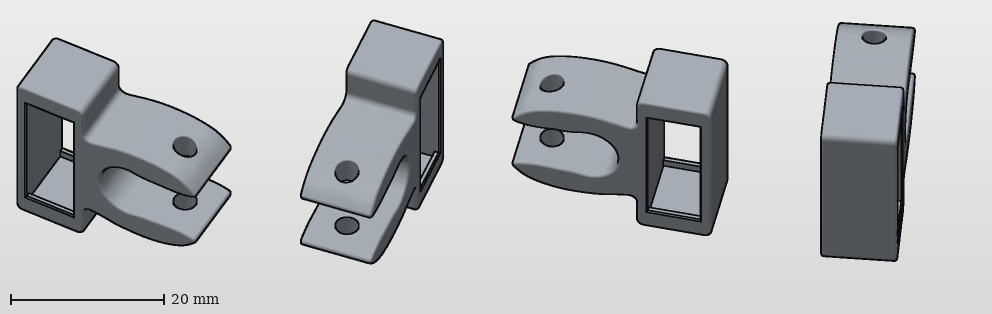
import cadquery as cq
import math

length = 26.7
depth = 10.0
height = 24.0

sleeve_width = 10.02
corner_radius = 1.0
edge_fillet = 0.4

window_width = 7.0
window_height = 18.0
window_chamfer = 0.2
lip_thickness = 0.75
lip_height = 1.07

clip_overlap = 0.75
neck_radius = 1.0
neck_center_z = 7.7
neck_mid_angle = math.radians(-130)
arm_start_slope = math.radians(10)
seat_radius = 4.0
seat_center_x = 16.5
seat_end_angle = math.radians(76)
tip_z = 4.45
tip_radius = 0.53
tip_start_angle = math.radians(40)
tip_end_angle = math.radians(-70)

hole_diameter = 3.1
hole_x = 22.45
hole_fillet = 0.2
rim_z = 6.68
rim_zone_height = 3.2


def polar(center_x, center_z, radius, angle):
    return (center_x + radius * math.cos(angle), center_z + radius * math.sin(angle))


def mirrored(points):
    """Points reflected in Z and reversed, so that the outline keeps its direction."""
    return [(x, -z) for x, z in reversed(points)]


def mirrored_tangents(tangents):
    """Directions of travel along the curve whose points come from mirrored()."""
    return [(-dx, dz) for dx, dz in reversed(tangents)]


def heading(angle, turn):
    """Direction of travel on a circle at an angle; turn is 1 anticlockwise, -1 clockwise."""
    return (-turn * math.sin(angle), turn * math.cos(angle))


def make_clip():
    neck_x = sleeve_width + neck_radius
    neck_mid = polar(neck_x, neck_center_z, neck_radius, neck_mid_angle)
    arm_start = polar(neck_x, neck_center_z, neck_radius, arm_start_slope - math.pi / 2)
    seat_end = polar(seat_center_x, 0, seat_radius, seat_end_angle)

    tip_x = length - tip_radius
    tip_top = polar(tip_x, tip_z, tip_radius, tip_start_angle)
    tip_bottom = polar(tip_x, tip_z, tip_radius, tip_end_angle)
    outer_curve = [arm_start, (14.7, 7.45), (18.3, 7.72), (22.15, 7.32), (24.97, 6.25), tip_top]
    inner_curve = [tip_bottom, (24.2, 3.53), (21.1, 3.58), seat_end]
    outer_tangents = [(math.cos(arm_start_slope), math.sin(arm_start_slope)), heading(tip_start_angle, -1)]
    inner_tangents = [heading(tip_end_angle, -1), heading(seat_end_angle, 1)]

    root_x = sleeve_width - clip_overlap
    return (
        cq.Workplane("XZ", origin=(0, depth / 2, 0))
        .moveTo(root_x, neck_center_z)
        .lineTo(sleeve_width, neck_center_z)
        .threePointArc(neck_mid, arm_start)
        .spline(outer_curve[1:], tangents=outer_tangents, includeCurrent=True)
        .threePointArc((length, tip_z), tip_bottom)
        .spline(inner_curve[1:], tangents=inner_tangents, includeCurrent=True)
        .threePointArc((seat_center_x - seat_radius, 0), (seat_end[0], -seat_end[1]))
        .spline(mirrored(inner_curve)[1:], tangents=mirrored_tangents(inner_tangents), includeCurrent=True)
        .threePointArc((length, -tip_z), (tip_top[0], -tip_top[1]))
        .spline(mirrored(outer_curve)[1:], tangents=mirrored_tangents(outer_tangents), includeCurrent=True)
        .threePointArc((neck_mid[0], -neck_mid[1]), (sleeve_width, -neck_center_z))
        .lineTo(root_x, -neck_center_z)
        .close()
        .extrude(depth)
    )


def make_body():
    sleeve = (
        cq.Workplane("XY")
        .box(sleeve_width, depth, height)
        .translate((sleeve_width / 2, 0, 0))
        .edges("|Y")
        .fillet(corner_radius)
    )
    return sleeve.union(make_clip()).faces("<Y or >Y").edges().fillet(edge_fillet)


def make_window():
    center = (sleeve_width / 2, 0, 0)
    opening = cq.Workplane("XY").box(window_width, depth, window_height)
    cavity = cq.Workplane("XY").box(
        window_width, depth - 2 * lip_thickness, window_height + 2 * lip_height
    )
    window = opening.union(cavity)
    for side in (-1, 1):
        flare = (
            cq.Workplane("XZ", origin=(0, side * depth / 2, 0))
            .rect(window_width + 2 * window_chamfer, window_height + 2 * window_chamfer)
            .workplane(offset=side * window_chamfer)
            .rect(window_width, window_height)
            .loft(ruled=True)
        )
        window = window.union(flare)
    return window.translate(center)


def drill_arms(body):
    drill = cq.Workplane("XY").center(hole_x, 0).circle(hole_diameter / 2).extrude(height / 2, both=True)
    drilled = body.cut(drill)
    zone = hole_diameter / 2 + 2 * hole_fillet
    for side in (-1, 1):
        rim = cq.selectors.BoxSelector(
            (hole_x - zone, -zone, side * rim_z - rim_zone_height / 2),
            (hole_x + zone, zone, side * rim_z + rim_zone_height / 2),
            boundingbox=True,
        )
        drilled = drilled.edges(rim).fillet(hole_fillet)
    return drilled


result = drill_arms(make_body()).cut(make_window())